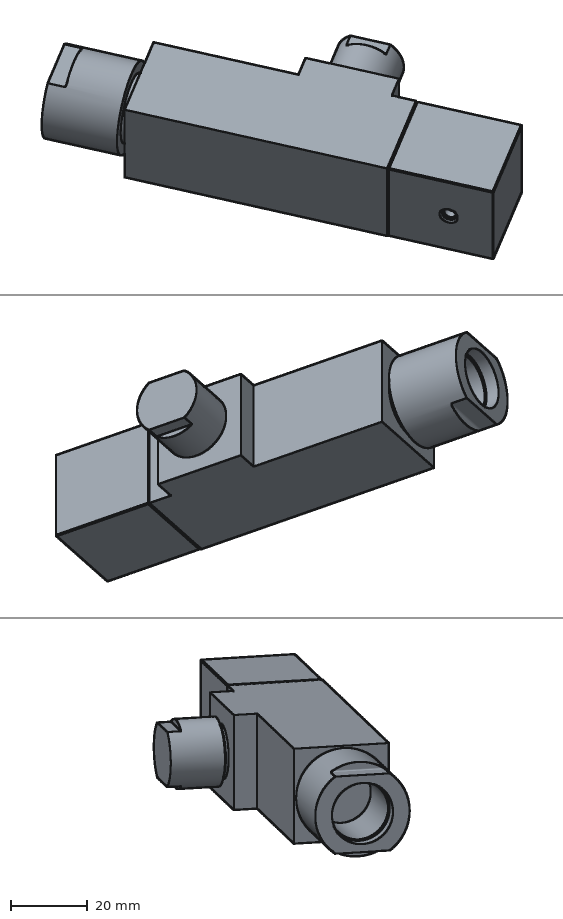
import cadquery as cq

square_side = 25.5
half_side = square_side / 2
block_start = 22.6
block_end = 94.0
total_length = 122.9

inlet_diameter = 25.3
inlet_length = 20.5
inlet_flat_length = 4.9
inlet_across_flats = 20.6
inlet_flat_fillet = 0.4
neck_diameter = 18.8
bore_mouth_diameter = 16.3
bore_mouth_depth = 3.7
bore_diameter = 15.7
bore_taper_length = 0.4

outlet_x = 74.7
outlet_boss_height = 6.3
outlet_diameter = 18.3
outlet_length = 14.5
outlet_flat_length = 3.7
outlet_across_flats = 14.7
outlet_collar_diameter = 14.5
outlet_collar_length = 0.7
outlet_groove_diameter = 13.5
outlet_groove_length = 0.7

cap_gap = 0.2
cap_start = block_end + cap_gap
cap_edge_chamfer = 0.2
cap_wall = (square_side - neck_diameter) / 2
spigot_end = total_length - cap_wall

screw_hole_x = 110.7
countersink_diameter = 4.9
screw_entry_diameter = 3.8
screw_entry_depth = 1.2
screw_hole_diameter = 3.2


def square_bar(start, end):
    """Square bar on the X axis."""
    section = cq.Workplane("YZ").workplane(offset=start).rect(square_side, square_side)
    return section.extrude(end - start)


def rod_x(diameter, start, end):
    """Round rod on the X axis."""
    return cq.Workplane("YZ").workplane(offset=start).circle(diameter / 2).extrude(end - start)


def rod_y(diameter, start, end):
    """Round rod along Y on the outlet axis."""
    section = cq.Workplane("XZ", origin=(outlet_x, start, 0)).circle(diameter / 2)
    return section.extrude(start - end)


def make_inlet():
    """Inlet nut with a neck and two wrench flats that end in a small fillet."""
    nut = rod_x(inlet_diameter, 0, inlet_length)
    flat_depth = (inlet_diameter - inlet_across_flats) / 2
    for side in (1, -1):
        flat_center_z = side * (inlet_across_flats + flat_depth) / 2
        inner_edge = "<Z" if side > 0 else ">Z"
        wrench_cut = (
            cq.Workplane("XY")
            .box(inlet_flat_length, inlet_diameter, flat_depth, centered=(False, True, True))
            .translate((0, 0, flat_center_z))
            .faces(inner_edge)
            .edges(">X")
            .fillet(inlet_flat_fillet)
        )
        nut = nut.cut(wrench_cut)
    return nut.union(rod_x(neck_diameter, inlet_length, block_start))


def make_inlet_bore():
    """Blind bore that tapers from its wider mouth and stops at the block."""
    taper_end = bore_mouth_depth + bore_taper_length
    return (
        cq.Workplane("XY")
        .moveTo(0, 0)
        .lineTo(0, bore_mouth_diameter / 2)
        .lineTo(bore_mouth_depth, bore_mouth_diameter / 2)
        .lineTo(taper_end, bore_diameter / 2)
        .lineTo(block_start, bore_diameter / 2)
        .lineTo(block_start, 0)
        .close()
        .revolve(360, (0, 0, 0), (1, 0, 0))
    )


def make_outlet():
    """Square boss, stepped neck and outlet nut with two wrench flats at its end."""
    boss_top = half_side + outlet_boss_height
    collar_top = boss_top + outlet_collar_length
    nut_start = collar_top + outlet_groove_length
    nut_end = nut_start + outlet_length
    boss = (
        cq.Workplane("XY", origin=(outlet_x, 0, 0))
        .box(square_side, boss_top, square_side, centered=(True, False, True))
    )
    collar = rod_y(outlet_collar_diameter, boss_top, collar_top)
    groove = rod_y(outlet_groove_diameter, collar_top, nut_start)
    flats_start = nut_end - outlet_flat_length
    nut = rod_y(outlet_diameter, nut_start, flats_start)
    flats = (
        cq.Workplane("XY", origin=(outlet_x, flats_start, 0))
        .box(square_side, outlet_flat_length, outlet_across_flats, centered=(True, False, True))
    )
    tip = rod_y(outlet_diameter, flats_start, nut_end).intersect(flats)
    return boss.union(collar).union(groove).union(nut).union(tip)


def make_housing():
    """Block with its two connectors and the spigot that carries the cap."""
    housing = square_bar(block_start, block_end).union(make_inlet()).union(make_outlet())
    housing = housing.union(rod_x(neck_diameter, block_end, spigot_end))
    return housing.cut(make_inlet_bore())


def make_screw_hole():
    """Stepped, countersunk hole from the -Y face of the cap in to the spigot socket."""
    mouth_radius = countersink_diameter / 2
    entry_radius = screw_entry_diameter / 2
    hole_radius = screw_hole_diameter / 2
    countersink_depth = mouth_radius - entry_radius
    return (
        cq.Workplane("XY", origin=(screw_hole_x, -half_side, 0))
        .moveTo(0, 0)
        .lineTo(mouth_radius, 0)
        .lineTo(entry_radius, countersink_depth)
        .lineTo(entry_radius, screw_entry_depth)
        .lineTo(hole_radius, screw_entry_depth)
        .lineTo(hole_radius, half_side)
        .lineTo(0, half_side)
        .close()
        .revolve(360, (0, 0, 0), (0, 1, 0))
    )


def make_cap():
    """Chamfered end cap with a spigot socket and a screw hole."""
    cap = square_bar(cap_start, total_length).edges().chamfer(cap_edge_chamfer)
    socket = rod_x(neck_diameter, cap_start, spigot_end)
    return cap.cut(make_screw_hole()).cut(socket)


housing = make_housing()
cap = make_cap()
result = cq.Compound.makeCompound([housing.val(), cap.val()])